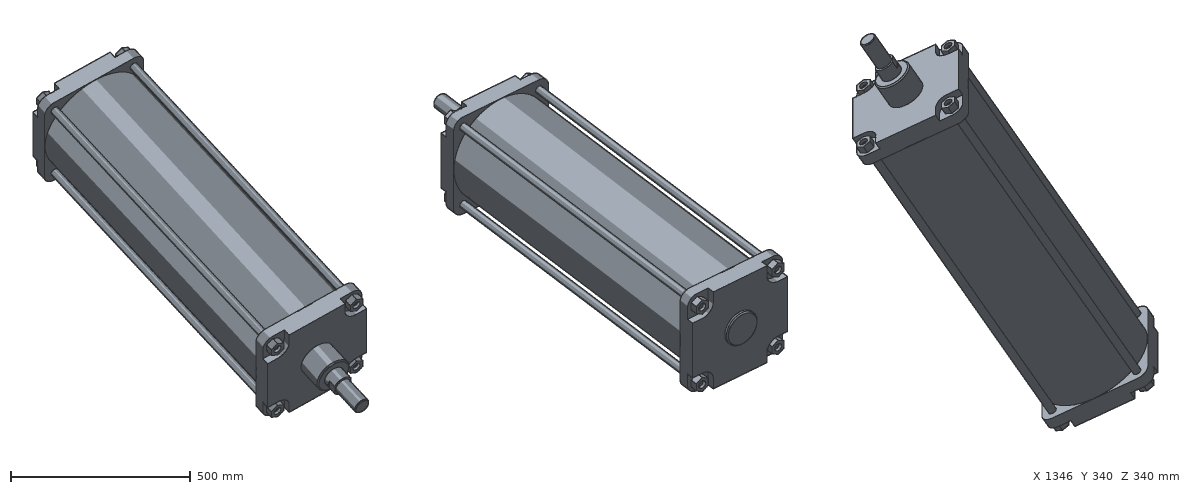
import cadquery as cq

TOTAL_LENGTH = 1346.0
REAR_BOSS_HEIGHT = 11.0
CAP_THICKNESS = 57.0
BARREL_LENGTH = 1007.0
GLAND_LENGTH = 80.0
COLLAR_LENGTH = 43.0

BARREL_X = REAR_BOSS_HEIGHT + CAP_THICKNESS
FRONT_CAP_X = BARREL_X + BARREL_LENGTH
ROD_X = FRONT_CAP_X + CAP_THICKNESS + GLAND_LENGTH
THREAD_X = ROD_X + COLLAR_LENGTH

TIE_ROD_OFFSET = 136.0
TIE_ROD_DIAMETER = 24.0
NUT_FLATS = 43.0
NUT_BORE_DEPTH = 8.0
TIE_ROD_CHAMFER = 3.0

CAP_SIZE = 340.0
CAP_CORNER_RADIUS = CAP_SIZE / 2 - TIE_ROD_OFFSET
POCKET_SIZE = 74.0
POCKET_DEPTH = 23.0
POCKET_RADIUS = 39.0
BOSS_DIAMETER = 110.0
BOSS_CHAMFER = 4.0

BARREL_DIAMETER = 338.0

COLLAR_DIAMETER = 63.0
WRENCH_FLATS = 55.0
WRENCH_LENGTH = 25.0
THREAD_DIAMETER = 48.0
THREAD_CHAMFER = 3.0

SIGNS = (-1, 1)
CORNERS = [(y * TIE_ROD_OFFSET, z * TIE_ROD_OFFSET) for y in SIGNS for z in SIGNS]


def across(x):
    """Plane square to the main axis at x, with Y and Z as its local axes."""
    return cq.Workplane("YZ", origin=(x, 0, 0))


def make_cap(inner_x, outward, boss_height):
    """End cap whose outer face looks along outward (-1 or +1) and carries a round boss."""
    outer_x = inner_x + outward * CAP_THICKNESS
    cap = across(inner_x).rect(CAP_SIZE, CAP_SIZE).extrude(outward * CAP_THICKNESS)
    cap = cap.edges("|X").fillet(CAP_CORNER_RADIUS)

    corner_points = [(y * CAP_SIZE / 2, z * CAP_SIZE / 2) for y in SIGNS for z in SIGNS]
    pockets = across(outer_x).pushPoints(corner_points).rect(2 * POCKET_SIZE, 2 * POCKET_SIZE)
    pockets = pockets.extrude(-outward * POCKET_DEPTH).edges("|X").fillet(POCKET_RADIUS)
    cap = cap.cut(pockets)

    holes = across(inner_x).pushPoints(CORNERS).circle(TIE_ROD_DIAMETER / 2)
    cap = cap.cut(holes.extrude(outward * CAP_THICKNESS))

    boss = across(outer_x).circle(BOSS_DIAMETER / 2).extrude(outward * boss_height)
    boss_end = ">X" if outward > 0 else "<X"
    return cap.union(boss.faces(boss_end).chamfer(BOSS_CHAMFER))


def make_barrel():
    return across(BARREL_X).circle(BARREL_DIAMETER / 2).extrude(BARREL_LENGTH)


def make_tie_rod(y, z):
    """Tie rod with its two nuts; the chamfered rod ends sit inside the nut bores."""
    rear_x = BARREL_X - CAP_THICKNESS
    front_x = FRONT_CAP_X + CAP_THICKNESS
    rod_length = front_x - rear_x - 2 * NUT_BORE_DEPTH
    rod = across(rear_x + NUT_BORE_DEPTH).center(y, z).circle(TIE_ROD_DIAMETER / 2).extrude(rod_length)
    rod = rod.faces("<X or >X").chamfer(TIE_ROD_CHAMFER)
    for nut_x in (rear_x, front_x - POCKET_DEPTH):
        nut = across(nut_x).center(y, z).polygon(6, NUT_FLATS, circumscribed=True).extrude(POCKET_DEPTH)
        bore = across(nut_x).center(y, z).circle(TIE_ROD_DIAMETER / 2).extrude(POCKET_DEPTH)
        rod = rod.union(nut.cut(bore))
    return rod


def make_piston_rod():
    """Rod from the gland face outwards: a collar with wrench flats, then a thinner threaded end."""
    collar = across(ROD_X).circle(COLLAR_DIAMETER / 2).extrude(COLLAR_LENGTH)

    plain_part = across(ROD_X).circle(COLLAR_DIAMETER / 2).extrude(COLLAR_LENGTH - WRENCH_LENGTH)
    flat_part = across(THREAD_X - WRENCH_LENGTH).rect(WRENCH_FLATS, COLLAR_DIAMETER).extrude(WRENCH_LENGTH)
    collar = collar.intersect(plain_part.union(flat_part))

    thread = across(THREAD_X).circle(THREAD_DIAMETER / 2).extrude(TOTAL_LENGTH - THREAD_X)
    return collar.union(thread.faces(">X").chamfer(THREAD_CHAMFER))


rear_cap = make_cap(BARREL_X, -1, REAR_BOSS_HEIGHT)
front_cap = make_cap(FRONT_CAP_X, 1, GLAND_LENGTH)
barrel = make_barrel()
tie_rods = [make_tie_rod(y, z) for y, z in CORNERS]
piston_rod = make_piston_rod()

result = cq.Compound.makeCompound(
    [
        rear_cap.solids().val(),
        front_cap.solids().val(),
        barrel.solids().val(),
        piston_rod.solids().val(),
        *[tie_rod.solids().val() for tie_rod in tie_rods],
    ]
)